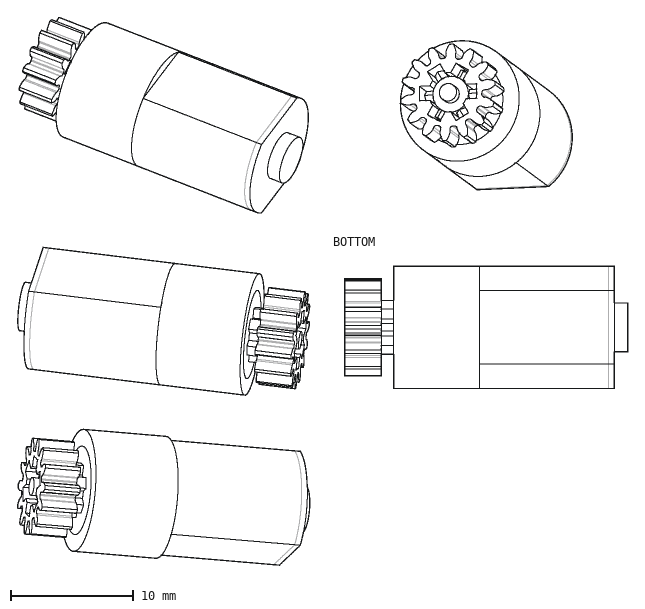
import cadquery as cq
import math

overall_length = 23.1
gear_length = 3.0
gearbox_front = 4.0
gearbox_rear = 11.0
can_rear = 21.5
cap_rear = 22.0

body_diameter = 10.0
flat_spacing = 8.0
boss_diameter = 4.0

flange_diameter = 7.25
flange_thickness = 1.0
flange_rear = gearbox_front + flange_thickness
hub_diameter = 2.98
hub_front = 0.9
pin_diameter = 1.45
pin_front = 0.0
arm_count = 6
arm_radius = 2.2
arm_width = 0.92
arm_ridge = hub_front
arm_shoulder = 1.65

socket_clearance = 0.15
socket_hub_diameter = hub_diameter + 2 * socket_clearance
socket_arm_width = arm_width + 2 * socket_clearance
socket_arm_radius = 2.4

tooth_count = 14
gear_diameter = 8.0
pressure_angle = math.radians(20)
dedendum_factor = 1.3
root_fillet = 0.25
first_tooth_angle = 94.3
tooth_pitch = 360 / tooth_count
module = gear_diameter / (tooth_count + 2)
pitch_radius = module * tooth_count / 2
tip_radius = gear_diameter / 2
root_radius = pitch_radius - dedendum_factor * module
base_radius = pitch_radius * math.cos(pressure_angle)
flank_steps = 4


def disc(diameter, x_start, x_end):
    """Round bar along X between two positions."""
    return cq.Workplane("YZ").workplane(offset=x_start).circle(diameter / 2).extrude(x_end - x_start)


def turned(solid, angle):
    """Copy of a solid turned about the X axis by an angle in degrees."""
    return solid.rotate((0, 0, 0), (1, 0, 0), angle)


def polar(radius, angle):
    return (radius * math.cos(angle), radius * math.sin(angle))


def mirrored(point):
    return (point[0], -point[1])


def involute(angle):
    return math.tan(angle) - angle


def space_half_angle(radius):
    """Half the angle of the gap between two teeth at a radius on the involute flanks."""
    local_pressure_angle = math.acos(base_radius / radius)
    return math.pi / (2 * tooth_count) - involute(pressure_angle) + involute(local_pressure_angle)


def tooth_space():
    """Gap between two teeth, centred on +Y: involute flanks, radial sides and a filleted root."""
    flank_step = (tip_radius - base_radius) / flank_steps
    flank_radii = [base_radius + flank_step * step for step in range(flank_steps + 1)]
    flank = [polar(radius, space_half_angle(radius)) for radius in flank_radii]
    lower_flank = [mirrored(point) for point in flank]

    side_angle = space_half_angle(base_radius)
    fillet_centre_radius = root_radius + root_fillet
    fillet_span = math.asin(root_fillet / fillet_centre_radius)
    fillet_angle = side_angle - fillet_span
    fillet_centre = polar(fillet_centre_radius, fillet_angle)
    fillet_top = polar(fillet_centre_radius * math.cos(fillet_span), side_angle)
    fillet_end = polar(root_radius, fillet_angle)
    bisector = (side_angle + math.pi / 2 + fillet_angle + math.pi) / 2
    offset = polar(root_fillet, bisector)
    fillet_middle = (fillet_centre[0] + offset[0], fillet_centre[1] + offset[1])

    outside = tip_radius + module
    return (
        cq.Workplane("YZ")
        .moveTo(outside, lower_flank[-1][1])
        .lineTo(*lower_flank[-1])
        .spline(lower_flank[-2::-1], includeCurrent=True)
        .lineTo(*mirrored(fillet_top))
        .threePointArc(mirrored(fillet_middle), mirrored(fillet_end))
        .threePointArc((root_radius, 0), fillet_end)
        .threePointArc(fillet_middle, fillet_top)
        .lineTo(*flank[0])
        .spline(flank[1:], includeCurrent=True)
        .lineTo(outside, flank[-1][1])
        .close()
        .extrude(gear_length)
    )


def star(centre_diameter, arm, x_start, x_end):
    """Round centre with copies of one arm spaced evenly around the X axis."""
    solid = disc(centre_diameter, x_start, x_end)
    for index in range(arm_count):
        solid = solid.union(turned(arm, index * 360 / arm_count))
    return solid


def build_gear():
    gear = disc(gear_diameter, 0, gear_length)
    space = tooth_space()
    for index in range(tooth_count):
        gear = gear.cut(turned(space, first_tooth_angle + (index + 0.5) * tooth_pitch))
    slot = cq.Workplane("XY").box(
        gear_length, socket_arm_radius, socket_arm_width, centered=(False, False, True)
    )
    return gear.cut(star(socket_hub_diameter, slot, 0, gear_length))


def build_coupling():
    half_width = arm_width / 2
    arm = (
        cq.Workplane("XZ")
        .moveTo(gearbox_front, -half_width)
        .lineTo(arm_shoulder, -half_width)
        .lineTo(arm_ridge, 0)
        .lineTo(arm_shoulder, half_width)
        .lineTo(gearbox_front, half_width)
        .close()
        .extrude(-arm_radius)
    )
    coupling = star(hub_diameter, arm, hub_front, gearbox_front)
    coupling = coupling.union(disc(flange_diameter, gearbox_front, flange_rear))
    return coupling.union(disc(pin_diameter, pin_front, hub_front))


def build_gearbox():
    gearbox = disc(body_diameter, gearbox_front, gearbox_rear)
    return gearbox.cut(disc(flange_diameter, gearbox_front, flange_rear))


def flatted_disc(x_start, x_end):
    """Round section with a flat on top and underneath."""
    length = x_end - x_start
    slab = cq.Workplane("XY").box(length, body_diameter, flat_spacing, centered=(False, True, True))
    return disc(body_diameter, x_start, x_end).intersect(slab.translate((x_start, 0, 0)))


def build_motor():
    can = flatted_disc(gearbox_rear, can_rear)
    end_cap = flatted_disc(can_rear, cap_rear)
    boss = disc(boss_diameter, cap_rear, overall_length)
    return can.union(end_cap, clean=False).union(boss, clean=False)


gear = build_gear()
coupling = build_coupling()
gearbox = build_gearbox()
motor = build_motor()

result = cq.Compound.makeCompound([gear.val(), coupling.val(), gearbox.val(), motor.val()])